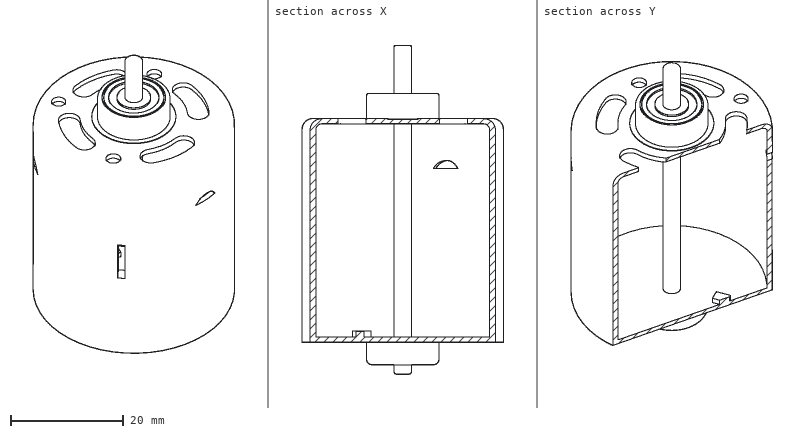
import cadquery as cq
import math

shaft_top = 58.7
lower_boss_bottom = 1.7
can_bottom = 5.7
can_top = 45.65
upper_boss_top = 50.15

can_radius = 36.0 / 2
wall = 1.0
can_fillet = 2 * wall
can_cavity_radius = can_radius - wall
can_cavity_fillet = can_fillet - wall

shaft_radius = 3.15 / 2
shaft_top_fillet = 0.35
shaft_bottom_fillet = 0.5
boss_radius = 13.0 / 2
upper_boss_fillet = 0.4
lower_boss_fillet = 1.0

seat_ring = (15.0, 2 * boss_radius, 0.1)
race_groove = (11.3, 10.75, 0.3)
seal_groove = (9.0, 6.05, 0.35)

vent_path_radius = 11.55
vent_width = 3.9
vent_start_angle = 22.5
vent_end_angle = 57.5

hole_diameter = 2.5
screw_hole_diameter = 2.65
screw_hole_offset = 12.4
locating_hole_offset = 14.0

window_diameter = 5.5
window_sill = 36.75
window_height = 1.4
window_spread = 27
window_angles = (180 - window_spread, 180 + window_spread, -window_spread)

slit_angle = -80
slit_width = 1.3
slit_bottom = 22.95
slit_top = 30.6
slit_end_slope = 1.05

tab_angle = 130
tab_width = 1.95
tab_inner_radius = 8.2
tab_outer_radius = 10.9
tab_height = 1.0

clearance = 0.6


def cylinder(radius, bottom, top):
    return cq.Workplane("XY").workplane(offset=bottom).circle(radius).extrude(top - bottom)


def ring_cutter(ring, surface):
    outer_diameter, inner_diameter, depth = ring
    profile = cq.Workplane("XY").workplane(offset=surface - depth)
    return profile.circle(outer_diameter / 2).circle(inner_diameter / 2).extrude(depth)


def about_axis(body, angle):
    return body.rotate((0, 0, 0), (0, 0, 1), angle)


def polar(radius, angle):
    return (radius * math.cos(math.radians(angle)), radius * math.sin(math.radians(angle)))


def hollow_can():
    drum = cylinder(can_radius, can_bottom, can_top).faces(">Z").edges().fillet(can_fillet)
    cavity = cylinder(can_cavity_radius, can_bottom + wall, can_top - wall)
    return drum.cut(cavity.faces(">Z").edges().fillet(can_cavity_fillet))


def vent_cutter():
    middle_angle = (vent_start_angle + vent_end_angle) / 2
    inner = vent_path_radius - vent_width / 2
    outer = vent_path_radius + vent_width / 2
    return (
        cq.Workplane("XY")
        .workplane(offset=can_top - wall)
        .moveTo(*polar(inner, vent_start_angle))
        .threePointArc(polar(inner, middle_angle), polar(inner, vent_end_angle))
        .tangentArcPoint(polar(outer, vent_end_angle), relative=False)
        .threePointArc(polar(outer, middle_angle), polar(outer, vent_start_angle))
        .tangentArcPoint(polar(inner, vent_start_angle), relative=False)
        .close()
        .extrude(wall)
    )


def window_cutter(angle):
    centre_height = window_sill + window_height - window_diameter / 2
    cut_start = can_cavity_radius / 2
    cut_end = can_radius + clearance
    disc = (
        cq.Workplane("YZ")
        .workplane(offset=cut_start)
        .center(0, centre_height)
        .circle(window_diameter / 2)
        .extrude(cut_end - cut_start)
    )
    above_sill = cylinder(cut_end, window_sill, can_top)
    return about_axis(disc.intersect(above_sill), angle)


def slit_cutter():
    slope = slit_end_slope / wall
    inner_x = can_cavity_radius - clearance
    outer_x = can_radius + clearance
    inner_inset = slope * (can_radius - inner_x)
    outer_inset = -slope * clearance
    section = [
        (inner_x, slit_bottom + inner_inset),
        (outer_x, slit_bottom + outer_inset),
        (outer_x, slit_top - outer_inset),
        (inner_x, slit_top - inner_inset),
    ]
    blank = cq.Workplane("XZ").polyline(section).close().extrude(slit_width / 2, both=True)
    return about_axis(blank, slit_angle)


def terminal_tab():
    length = tab_outer_radius - tab_inner_radius
    tab = (
        cq.Workplane("XY")
        .workplane(offset=can_bottom + wall)
        .center(tab_inner_radius + length / 2, 0)
        .rect(length, tab_width)
        .extrude(tab_height)
    )
    return about_axis(tab, tab_angle)


def lid_hole(diameter, x, y):
    return cylinder(diameter / 2, can_top - wall, can_top).translate((x, y, 0))


def upper_boss():
    boss = cylinder(boss_radius, can_top - wall, upper_boss_top)
    return boss.faces(">Z").edges().fillet(upper_boss_fillet)


def lower_boss():
    boss = cylinder(boss_radius, lower_boss_bottom, can_bottom + wall)
    return boss.faces("<Z").edges().fillet(lower_boss_fillet)


def shaft():
    rod = cylinder(shaft_radius, 0, shaft_top)
    rod = rod.faces(">Z").edges().fillet(shaft_top_fillet)
    return rod.faces("<Z").edges().fillet(shaft_bottom_fillet)


body = hollow_can().cut(slit_cutter())
for angle in window_angles:
    body = body.cut(window_cutter(angle))

vent = vent_cutter()
for mirrored in (vent, vent.mirror("YZ")):
    body = body.cut(mirrored).cut(mirrored.mirror("XZ"))

for side in (1, -1):
    body = body.cut(lid_hole(screw_hole_diameter, 0, side * screw_hole_offset))
body = body.cut(lid_hole(hole_diameter, -locating_hole_offset, 0))

body = body.union(upper_boss()).union(lower_boss()).union(terminal_tab())
body = body.cut(ring_cutter(seat_ring, can_top))
body = body.cut(ring_cutter(race_groove, upper_boss_top))
body = body.cut(ring_cutter(seal_groove, upper_boss_top))

result = body.union(shaft())